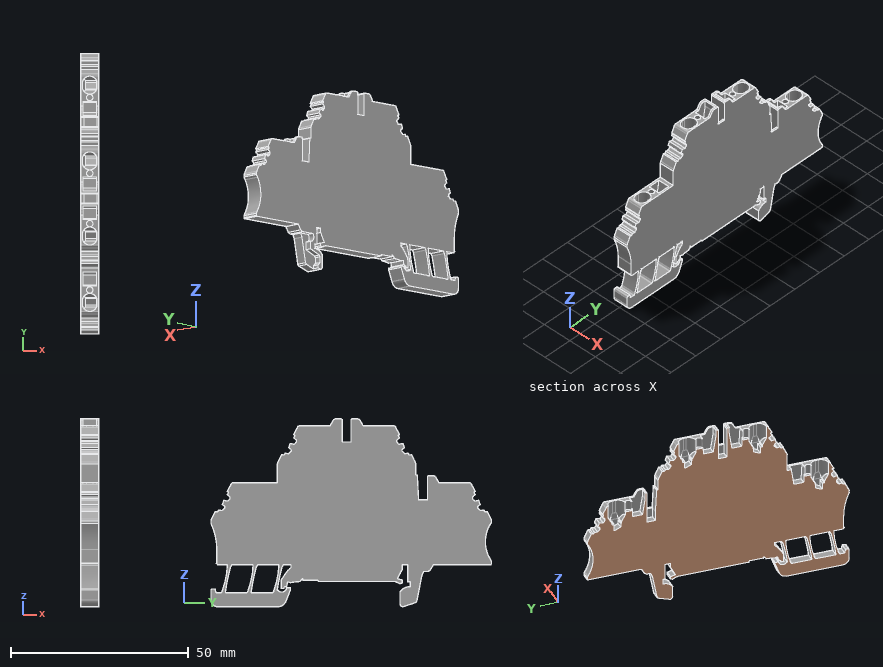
import cadquery as cq

thickness = 5.1
half_length = 39.53
total_height = 52.98
overlap = 0.4

tower_top = 51.0
tier_drop = 16.0
wing_top = tower_top - tier_drop
housing_bottom = 11.85
base_bottom = 7.1
horn_rise = total_height - tower_top

tower_axis = -1.31
wing_axis = 0.0
tower_corner = 13.13
tier_step = 20.0
wing_corner = tower_corner + tier_step
stair_reach = half_length - wing_corner
stair_drop = 10.75
tower_wall = tower_corner + stair_reach
tower_deck_to_slot = 11.92
wing_deck_to_slot = 11.7
tower_slot_depth = 4.55
wing_slot_depth = 4.8
tower_slot_half = tower_corner - tower_deck_to_slot
tower_slot_span = (tower_axis - tower_slot_half, tower_axis + tower_slot_half)
tower_slot_floor = tower_top - tower_slot_depth
wing_slot_floor = wing_top - wing_slot_depth
wing_slot_wall = wing_corner - wing_deck_to_slot
wing_slot_foot = 18.99
wing_slot_lip = 18.63
wing_ledge_rise = 2.15
wing_slot_ledge = wing_top + wing_ledge_rise

corner_arc = [(0.4, 0.08), (0.75, 0.5)]
stair_teeth = [
    (1.8, 2.5), (1.4, 2.75), (1.8, 3.4), (1.0, 4.1), (1.0, 4.5), (1.6, 5.2), (2.75, 4.95), (3.2, 6.2),
    (2.55, 6.65), (2.5, 7.15), (3.25, 7.85), (4.2, 7.7), (4.5, 8.25), (5.15, 8.1), (6.2, 10.2),
]

horn_foot = 8.45
horn_shoulder = 9.25
horn_shoulder_rise = 1.4
horn_round = (9.55, 1.75)
horn_crown = 10.2
horn_edge = 0.3

wire_hole_at = 2.55
wire_hole_width = 4.2
wire_hole_length = 5.05
wire_hole_depth = 4.0
funnel_depth = 2.0
clamp_x = (-1.25, 1.95)
clamp_length = 2.7
clamp_step_depth = 0.5
clamp_core_outer = 0.75
clamp_core_inner = 1.15
clamp_depth = 2.0
clamp_slope = 0.8
test_hole_at = 6.05
test_hole_diameter = 1.8
test_hole_depth = 3.0
pocket_span = (7.15, 11.05)
pocket_x = (-1.85, 1.95)
pocket_depth = 5.0
pocket_inner_taper = 0.8
pocket_outer_taper = 0.3

bridge_x = (-1.55, 2.0)
bridge_depth = 3.0

leg_count = 3
leg_pitch = 7.25
foot_floor = 4.0
lip_top = 5.1

latch_plate_thickness = 3.2
latch_neck = 9.9


def plate(points, x_min=-thickness / 2, x_max=thickness / 2):
    """Extrude a closed (Y, Z) polygon between two X positions."""
    return cq.Workplane("YZ", origin=(x_min, 0, 0)).polyline(points).close().extrude(x_max - x_min)


def block(x_span, y_span, z_span):
    """Box between pairs of limits."""
    (x0, x1), (y0, y1), (z0, z1) = x_span, y_span, z_span
    y0, y1 = sorted((y0, y1))
    return cq.Workplane("XY").box(x1 - x0, y1 - y0, z1 - z0, centered=False).translate((x0, y0, z0))


def terminal(axis, corner, side, deck, inner, bottom, has_horn):
    """Terminal block: deck, toothed outer stair and optional horn; side is +1 or -1 along Y."""

    def at(outwards, below):
        return (axis + side * (corner + outwards), deck - below)

    inner_end = inner - corner
    sketch = cq.Workplane("YZ", origin=(-thickness / 2, 0, 0)).moveTo(axis + side * inner, bottom)
    if has_horn:
        round_at, round_rise = horn_round
        sketch = (
            sketch.lineTo(*at(inner_end, horn_edge - horn_rise))
            .lineTo(*at(inner_end + horn_edge, -horn_rise))
            .lineTo(*at(-horn_crown, -horn_rise))
            .threePointArc(at(-round_at, -round_rise), at(-horn_shoulder, -horn_shoulder_rise))
            .lineTo(*at(-horn_foot, 0))
        )
    else:
        sketch = sketch.lineTo(*at(inner_end, 0))
    sketch = sketch.lineTo(*at(0, 0)).threePointArc(*[at(*point) for point in corner_arc])
    for tooth_point in stair_teeth:
        sketch = sketch.lineTo(*at(*tooth_point))
    return (
        sketch.lineTo(*at(stair_reach, stair_drop))
        .lineTo(axis + side * (corner + stair_reach), bottom)
        .close()
        .extrude(thickness)
    )


def housing():
    """Two-tier silhouette above the rail."""
    wing_floor = wing_top - stair_drop - overlap
    body = terminal(tower_axis, tower_corner, 1, tower_top, tower_slot_half, wing_floor, True)
    body = body.union(terminal(tower_axis, tower_corner, -1, tower_top, tower_slot_half, wing_floor, True))
    body = body.union(terminal(wing_axis, wing_corner, 1, wing_top, wing_slot_wall, wing_floor, True))
    wing_inner = tower_wall - tower_axis - overlap
    body = body.union(terminal(wing_axis, wing_corner, -1, wing_top, wing_inner, wing_floor, False))

    full_x = (-thickness / 2, thickness / 2)
    body = body.union(block(full_x, tower_slot_span, (wing_floor, tower_slot_floor)))
    wall_y = tower_axis + tower_wall
    body = body.union(plate([
        (wall_y - overlap, wing_floor), (wing_slot_wall, wing_floor), (wing_slot_wall, wing_slot_floor),
        (wing_slot_foot, wing_slot_floor), (wing_slot_lip, wing_slot_ledge),
        (wall_y - overlap, wing_slot_ledge),
    ]))
    return body.union(lower_body(wing_floor))


def lower_body(top):
    """Body between the terminal blocks and the rail, with concave end flanks."""
    return (
        cq.Workplane("YZ", origin=(-thickness / 2, 0, 0))
        .moveTo(half_length, top)
        .lineTo(half_length, 23.8)
        .lineTo(39.05, 23.1)
        .threePointArc((37.79, 18.0), (39.3, 13.2))
        .lineTo(half_length, 12.7)
        .lineTo(half_length, 12.1)
        .lineTo(39.3, housing_bottom)
        .lineTo(-37.6, housing_bottom)
        .lineTo(-38.0, 12.25)
        .lineTo(-37.88, 12.3)
        .lineTo(-37.88, 16.2)
        .threePointArc((-38.28, 19.85), (-half_length, 23.5))
        .lineTo(-half_length, top)
        .close()
        .extrude(thickness)
    )


def rail_base():
    """Body part that sits on the rail, with the hooks at both of its ends."""
    top = housing_bottom + overlap
    return plate([
        (14.4, top), (14.4, 10.6), (13.0, 7.95), (14.4, 7.6), (14.4, 6.8), (13.75, 6.5), (12.9, 6.9),
        (12.4, base_bottom), (-9.2, base_bottom), (-9.45, 7.5), (-13.65, 7.5), (-13.7, 7.95),
        (-14.45, base_bottom), (-15.8, 7.0), (-17.1, 6.8), (-17.9, 7.0), (-18.1, 5.85), (-18.9, 5.5),
        (-18.9, 5.15), (-19.75, 5.15), (-19.75, 7.6), (-18.1, 10.0), (-17.0, 11.1), (-17.0, top),
    ])


def latch_foot():
    """Resilient latch on the +Y side with a set-back backing plate."""
    latch = (
        cq.Workplane("YZ", origin=(-thickness / 2, 0, 0))
        .moveTo(23.15, housing_bottom + overlap)
        .lineTo(23.15, 11.8)
        .lineTo(22.2, 10.3)
        .lineTo(21.5, latch_neck)
        .lineTo(17.5, latch_neck)
        .threePointArc((17.1, 8.7), (17.8, 7.65))
        .lineTo(18.3, 7.65)
        .lineTo(18.3, 5.4)
        .lineTo(14.95, 4.05)
        .lineTo(14.65, 3.6)
        .lineTo(14.65, 1.95)
        .lineTo(15.4, 1.2)
        .lineTo(15.4, 0.3)
        .lineTo(14.5, 0.0)
        .threePointArc((13.95, 0.27), (13.7, 0.8))
        .lineTo(13.7, 4.2)
        .threePointArc((14.85, 5.3), (16.6, 5.7))
        .lineTo(16.6, 7.05)
        .lineTo(15.9, 7.05)
        .lineTo(15.9, housing_bottom + overlap)
        .close()
        .extrude(thickness)
    )
    backing = plate([
        (20.4, latch_neck + overlap), (20.4, latch_neck), (19.9, 8.8), (18.5, 1.65), (18.1, 1.2), (15.4, 0.3),
        (14.5, 0.3), (14.5, 4.0), (16.8, 5.5), (16.8, latch_neck + overlap),
    ], thickness / 2 - latch_plate_thickness)
    return latch.union(backing)


def spring_leg(index):
    """One inclined leg between the body and the rail foot."""
    leg = (
        cq.Workplane("YZ", origin=(-thickness / 2, 0, 0))
        .moveTo(-19.05, housing_bottom + overlap)
        .lineTo(-19.05, housing_bottom)
        .lineTo(-19.45, 11.2)
        .threePointArc((-20.3, 7.6), (-20.9, foot_floor))
        .lineTo(-20.9, foot_floor - overlap)
        .lineTo(-22.3, foot_floor - overlap)
        .lineTo(-22.3, foot_floor)
        .threePointArc((-22.0, 4.15), (-21.85, 4.5))
        .threePointArc((-20.95, 7.6), (-20.4, housing_bottom))
        .lineTo(-20.4, housing_bottom + overlap)
        .close()
        .extrude(thickness)
    )
    return leg.translate((0, -index * leg_pitch, 0))


def rail_foot():
    """Foot bar with an inner hook, an outer lip and three spring legs."""
    foot = (
        cq.Workplane("YZ", origin=(-thickness / 2, 0, 0))
        .moveTo(-17.1, 5.4)
        .lineTo(-17.05, 4.9)
        .lineTo(-18.3, 1.7)
        .threePointArc((-19.2, 0.5), (-20.5, 0))
        .lineTo(-37.5, 0)
        .threePointArc((-38.95, 0.6), (-half_length, 2.0))
        .lineTo(-half_length, 4.6)
        .threePointArc((-39.38, 4.95), (-39.0, lip_top))
        .lineTo(-38.3, lip_top)
        .lineTo(-38.05, foot_floor)
        .lineTo(-21.2, foot_floor)
        .lineTo(-20.7, 4.85)
        .threePointArc((-19.6, 4.2), (-18.2, 5.4))
        .close()
        .extrude(thickness)
    )
    for index in range(leg_count):
        foot = foot.union(spring_leg(index))
    return foot


def wire_entry(side):
    """Obround wire hole that funnels into a stepped clamp cavity; its mouth lies at the origin."""
    funnel_top = -wire_hole_depth
    funnel_bottom = funnel_top - funnel_depth
    step_bottom = funnel_bottom - clamp_step_depth
    core_bottom = step_bottom - clamp_depth
    hole = (
        cq.Workplane("XY", origin=(0, 0, funnel_top))
        .slot2D(wire_hole_length, wire_hole_width, 90)
        .extrude(wire_hole_depth)
    )
    clamp_centre_x = sum(clamp_x) / 2
    clamp_width = clamp_x[1] - clamp_x[0]
    funnel = (
        cq.Workplane("XY", origin=(0, 0, funnel_top))
        .rect(wire_hole_width, wire_hole_length)
        .workplane(offset=-funnel_depth)
        .center(clamp_centre_x, 0)
        .rect(clamp_width, clamp_length)
        .loft(ruled=True)
    )
    funnel = funnel.intersect(
        cq.Workplane("XY", origin=(0, 0, funnel_bottom))
        .slot2D(wire_hole_length, wire_hole_width, 90)
        .extrude(funnel_depth)
    )
    step = block(clamp_x, (-clamp_length / 2, clamp_length / 2), (step_bottom, funnel_bottom))
    core_outer = side * clamp_core_outer
    core_inner = -side * clamp_core_inner
    core = plate([
        (core_outer, step_bottom), (core_outer, core_bottom),
        (core_inner, core_bottom + clamp_slope), (core_inner, step_bottom),
    ], *clamp_x)
    return hole.union(funnel).union(step).union(core)


def deck_openings(axis, corner, side, deck):
    """Wire hole, test hole and tapered screwdriver pocket of one deck."""

    def at(inwards):
        return axis + side * (corner - inwards)

    wire_hole = wire_entry(side).translate((0, at(wire_hole_at), deck))
    test_hole = (
        cq.Workplane("XY", origin=(0, at(test_hole_at), deck - test_hole_depth))
        .circle(test_hole_diameter / 2)
        .extrude(test_hole_depth)
    )
    pocket_outer, pocket_inner = pocket_span
    pocket = plate([
        (at(pocket_outer), deck + horn_rise), (at(pocket_outer), deck),
        (at(pocket_outer + pocket_outer_taper), deck - pocket_depth),
        (at(pocket_inner - pocket_inner_taper), deck - pocket_depth),
        (at(pocket_inner), deck), (at(pocket_inner), deck + horn_rise),
    ], *pocket_x)
    return wire_hole.union(test_hole).union(pocket)


def bridge_pocket(y_span, floor):
    """Narrower pocket below a slot floor."""
    return block(bridge_x, y_span, (floor - bridge_depth, floor))


result = housing().union(rail_base()).union(latch_foot()).union(rail_foot())
for deck_axis, deck_corner, deck_top in (
    (tower_axis, tower_corner, tower_top),
    (wing_axis, wing_corner, wing_top),
):
    for deck_side in (1, -1):
        result = result.cut(deck_openings(deck_axis, deck_corner, deck_side, deck_top))
result = result.cut(bridge_pocket(tower_slot_span, tower_slot_floor))
result = result.cut(bridge_pocket((wing_slot_foot, wing_slot_wall), wing_slot_floor))